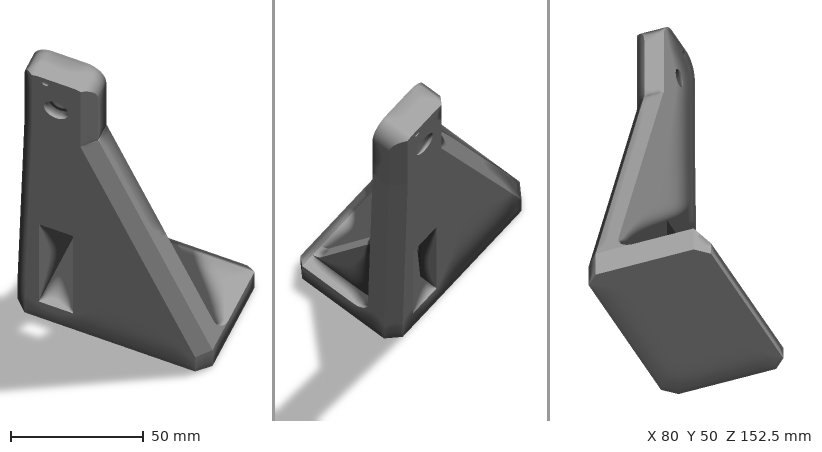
import cadquery as cq
import math

WIDTH = 80.0
DEPTH = 50.0
HEIGHT = 152.5

BASE_HEIGHT = 10.0
PLATE_THICKNESS = 13.0
EDGE_CHAMFER = 5.0
ROOT_FILLET = 7.5

COLUMN_LEFT = 3.0
COLUMN_CORNER_RADIUS = 8.0
COLUMN_LENGTH = 35.0
COLUMN_BOTTOM = HEIGHT - COLUMN_LENGTH
LEDGE = 0.3

SLOT_WIDTH = 14.0
SLOT_LEFT = COLUMN_LEFT + COLUMN_CORNER_RADIUS
SLOT_RIGHT = SLOT_LEFT + SLOT_WIDTH
SLOT_TOP = 59.0
FLARE_START = PLATE_THICKNESS - EDGE_CHAMFER
COLUMN_RIGHT = SLOT_RIGHT + COLUMN_CORNER_RADIUS
COLUMN_CENTER = (COLUMN_LEFT + COLUMN_RIGHT) / 2

RIB_THICKNESS = 5.0
RIB_FOOT = 42.8
RIB_END = 44.7

HOLE_DIAMETER = 7.0
COUNTERBORE_DIAMETER = 10.0
COUNTERBORE_DEPTH = 4.0
HOLE_HEIGHT = 135.0
PIN_DIAMETER = 2.6
PIN_OFFSET = 4.4
PIN_X = COLUMN_CENTER - PIN_OFFSET
PIN_HEIGHT = 149.5


def front_cylinder(x, z, diameter, depth):
    """Cylinder running back from the front face."""
    plane = cq.Workplane("XZ", origin=(x, 0, z))
    return plane.circle(diameter / 2).extrude(-depth)


def make_base():
    """Base block with chamfered vertical corners and rear top edge."""
    base = cq.Workplane("XY", origin=(0, EDGE_CHAMFER, 0))
    base = base.box(WIDTH, DEPTH - EDGE_CHAMFER, BASE_HEIGHT, centered=False)
    base = base.faces(">Y").edges("|Z").chamfer(EDGE_CHAMFER)
    return base.faces(">Y").edges(">Z").chamfer(EDGE_CHAMFER)


def make_tapered_outline(depth):
    """Front outline of the tapered part, extruded back by the given depth."""
    return (
        cq.Workplane("XZ")
        .lineTo(WIDTH, 0)
        .lineTo(WIDTH, BASE_HEIGHT)
        .lineTo(COLUMN_RIGHT + LEDGE, COLUMN_BOTTOM)
        .lineTo(COLUMN_LEFT, COLUMN_BOTTOM)
        .lineTo(0, BASE_HEIGHT)
        .close()
        .extrude(-depth)
    )


def chamfer_front_sides(plate):
    """Chamfer the front edges along the sides, but not the top and bottom edges."""
    return plate.faces("<Y").edges("not |X").chamfer(EDGE_CHAMFER)


def make_plate():
    """Tapered plate merged with a straight column that has rounded top corners."""
    taper = chamfer_front_sides(make_tapered_outline(PLATE_THICKNESS))
    block = cq.Workplane("XY", origin=(COLUMN_LEFT, 0, BASE_HEIGHT))
    block = block.box(
        COLUMN_RIGHT - COLUMN_LEFT, PLATE_THICKNESS, HEIGHT - BASE_HEIGHT, centered=False
    )
    rounded = block.faces(">Z").edges("|Y").fillet(COLUMN_CORNER_RADIUS)
    column = chamfer_front_sides(block).intersect(rounded)
    return taper.union(column)


def make_root_fillet():
    """Concave fillet behind the plate, trimmed to the front outline."""
    back = PLATE_THICKNESS
    fillet = (
        cq.Workplane("YZ")
        .moveTo(back, BASE_HEIGHT)
        .lineTo(back + ROOT_FILLET, BASE_HEIGHT)
        .radiusArc((back, BASE_HEIGHT + ROOT_FILLET), ROOT_FILLET)
        .close()
        .extrude(WIDTH)
    )
    return fillet.intersect(make_tapered_outline(DEPTH))


def make_slot():
    """Slot cutter, widening at 45 degrees past the back of the root fillet."""
    cut_end = PLATE_THICKNESS + ROOT_FILLET
    flare = cut_end - FLARE_START
    return (
        cq.Workplane("XY", origin=(0, 0, BASE_HEIGHT))
        .moveTo(SLOT_LEFT, 0)
        .lineTo(SLOT_RIGHT, 0)
        .lineTo(SLOT_RIGHT, FLARE_START)
        .lineTo(SLOT_RIGHT + flare, cut_end)
        .lineTo(SLOT_LEFT, cut_end)
        .close()
        .extrude(SLOT_TOP - BASE_HEIGHT)
    )


def make_rib():
    """Triangular gusset behind the plate, its foot rounded into the base."""
    slope = math.atan2(SLOT_TOP - BASE_HEIGHT, RIB_FOOT - PLATE_THICKNESS)
    tangent = ROOT_FILLET * math.tan(slope / 2)
    arc_top = (RIB_FOOT - tangent * math.cos(slope), BASE_HEIGHT + tangent * math.sin(slope))
    arc_end = RIB_FOOT + tangent
    rib = (
        cq.Workplane("YZ", origin=(SLOT_LEFT - RIB_THICKNESS, 0, 0))
        .moveTo(PLATE_THICKNESS, BASE_HEIGHT)
        .lineTo(arc_end, BASE_HEIGHT)
        .radiusArc(arc_top, ROOT_FILLET)
        .lineTo(PLATE_THICKNESS, SLOT_TOP)
        .close()
        .extrude(RIB_THICKNESS)
    )
    limit = cq.Workplane("XY").box(WIDTH, RIB_END, HEIGHT, centered=False)
    return rib.intersect(limit)


def cut_holes(body):
    """Counterbored mounting hole and pin hole near the top of the column."""
    hole = front_cylinder(COLUMN_CENTER, HOLE_HEIGHT, HOLE_DIAMETER, PLATE_THICKNESS)
    counterbore = front_cylinder(
        COLUMN_CENTER, HOLE_HEIGHT, COUNTERBORE_DIAMETER, COUNTERBORE_DEPTH
    )
    pin_hole = front_cylinder(PIN_X, PIN_HEIGHT, PIN_DIAMETER, PLATE_THICKNESS)
    return body.cut(hole).cut(counterbore).cut(pin_hole)


body = make_base().union(make_plate()).union(make_root_fillet())
body = body.cut(make_slot()).union(make_rib())
result = cut_holes(body)